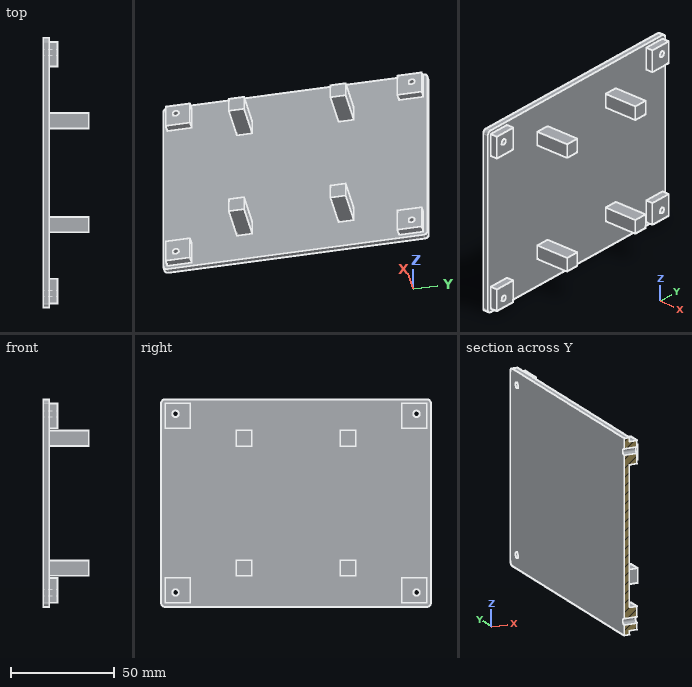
import cadquery as cq

PLATE_THICKNESS = 3.0
PLATE_WIDTH = 130.0
PLATE_HEIGHT = 100.0
CORNER_RADIUS = 2.0

PAD_SIDE = 12.0
PAD_HEIGHT = 4.0
PAD_INSET = 2.0

HOLE_DIAMETER = 3.0
HOLE_INSET = 7.0

POST_SIDE = 7.5
POST_HEIGHT = 19.0
POST_SPACING_Y = 50.0
POST_SPACING_Z = 62.5

PAD_SPACING_Y = PLATE_WIDTH - 2 * PAD_INSET - PAD_SIDE
PAD_SPACING_Z = PLATE_HEIGHT - 2 * PAD_INSET - PAD_SIDE
HOLE_SPACING_Y = PLATE_WIDTH - 2 * HOLE_INSET
HOLE_SPACING_Z = PLATE_HEIGHT - 2 * HOLE_INSET


def make_plate():
    """Rounded rectangular plate growing towards +X."""
    outline = cq.Workplane("YZ").rect(PLATE_WIDTH, PLATE_HEIGHT)
    return outline.extrude(PLATE_THICKNESS).edges("|X").fillet(CORNER_RADIUS)


def make_square_blocks(side, height, spacing_y, spacing_z):
    """Four square blocks standing on the +X face of the plate, in a rectangular pattern."""
    return (
        cq.Workplane("YZ", origin=(PLATE_THICKNESS, 0, 0))
        .rect(spacing_y, spacing_z, forConstruction=True)
        .vertices()
        .rect(side, side)
        .extrude(height)
    )


def make_screw_holes():
    """Four cylinders that cut through both the plate and the pads."""
    return (
        cq.Workplane("YZ")
        .rect(HOLE_SPACING_Y, HOLE_SPACING_Z, forConstruction=True)
        .vertices()
        .circle(HOLE_DIAMETER / 2)
        .extrude(PLATE_THICKNESS + PAD_HEIGHT)
    )


pads = make_square_blocks(PAD_SIDE, PAD_HEIGHT, PAD_SPACING_Y, PAD_SPACING_Z)
posts = make_square_blocks(POST_SIDE, POST_HEIGHT, POST_SPACING_Y, POST_SPACING_Z)

result = make_plate().union(pads).union(posts).cut(make_screw_holes())